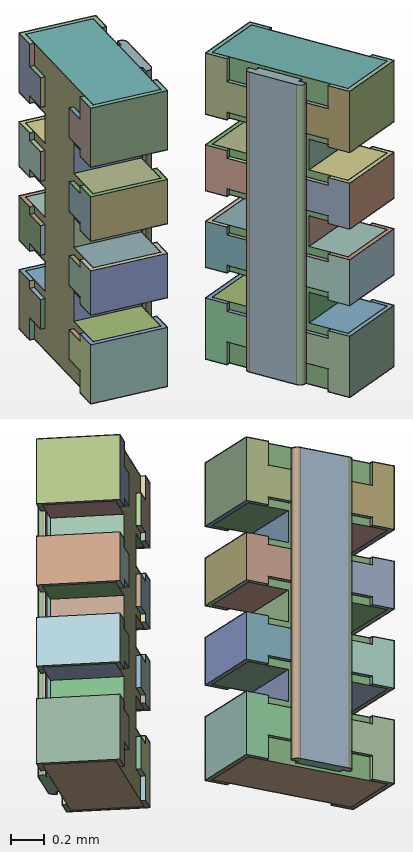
import cadquery as cq

WIDTH = 1.0
DEPTH = 0.5
HEIGHT = 2.0

PLATING = 0.03

NOTCH_HEIGHT = 0.2
INNER_ARM_HEIGHT = 0.3
OUTER_ARM_HEIGHT = 0.4
NECK_WIDTH = 0.4

LIP_REACH = 0.15
FRONT_TAB_REACH = (WIDTH - NECK_WIDTH) / 2
BACK_TAB_REACH = 0.35
TAB_HEIGHT = 0.2
TAB_MARGIN = 0.05

COVER_WIDTH = 0.4
COVER_RISE = 0.05
COVER_END_GAP = 0.02
COVER_ROUND = 0.035

BLOCK_FRONT = PLATING
BLOCK_BACK = DEPTH - PLATING
BLOCK_SIDE = WIDTH / 2 - PLATING

INNER_ROW_Z = (INNER_ARM_HEIGHT + NOTCH_HEIGHT) / 2
OUTER_ROW_Z = (HEIGHT - OUTER_ARM_HEIGHT) / 2
INNER_TAB_Z = INNER_ROW_Z
OUTER_TAB_Z = HEIGHT / 2 - OUTER_ARM_HEIGHT + TAB_MARGIN + TAB_HEIGHT / 2
NOTCH_Z = INNER_ARM_HEIGHT + NOTCH_HEIGHT

ROWS = [
    (-OUTER_ROW_Z, OUTER_ARM_HEIGHT, -OUTER_TAB_Z),
    (-INNER_ROW_Z, INNER_ARM_HEIGHT, -INNER_TAB_Z),
    (INNER_ROW_Z, INNER_ARM_HEIGHT, INNER_TAB_Z),
    (OUTER_ROW_Z, OUTER_ARM_HEIGHT, OUTER_TAB_Z),
]


def box_between(x_range, y_range, z_center, height):
    """Box spanning two X values and two Y values, centred on z_center."""
    x_size = x_range[1] - x_range[0]
    y_size = y_range[1] - y_range[0]
    corner = (x_range[0], y_range[0], z_center - height / 2)
    return cq.Workplane("XY").box(x_size, y_size, height, centered=False).translate(corner)


def make_block():
    """Ceramic block with three notches cut into each side down to the neck."""
    block = box_between((-BLOCK_SIDE, BLOCK_SIDE), (BLOCK_FRONT, BLOCK_BACK), 0, HEIGHT)
    for notch_z in (-NOTCH_Z, 0, NOTCH_Z):
        left_notch = box_between((-WIDTH / 2, -NECK_WIDTH / 2), (0, DEPTH), notch_z, NOTCH_HEIGHT)
        block = block.cut(left_notch).cut(left_notch.mirror("YZ"))
    return block


def make_left_terminal(row_z, arm_height, tab_z):
    """Plating wrapped around the -X end of one arm, with a tab on its front and back."""
    left = -WIDTH / 2
    channel = box_between((left, left + LIP_REACH), (0, DEPTH), row_z, arm_height)
    front_tab = box_between((left, left + FRONT_TAB_REACH), (0, BLOCK_FRONT), tab_z, TAB_HEIGHT)
    back_tab = box_between((left, left + BACK_TAB_REACH), (BLOCK_BACK, DEPTH), tab_z, TAB_HEIGHT)
    arm_space = box_between((-BLOCK_SIDE, 0), (BLOCK_FRONT, BLOCK_BACK), row_z, arm_height)
    return channel.cut(arm_space).union(front_tab).union(back_tab)


def make_cover():
    """Cover on the back: a narrow foot between the tabs and a wider rounded cap over them."""
    length = HEIGHT - 2 * COVER_END_GAP
    foot_half = WIDTH / 2 - BACK_TAB_REACH
    foot = box_between((-foot_half, foot_half), (BLOCK_BACK, DEPTH), 0, length)
    cap = box_between((-COVER_WIDTH / 2, COVER_WIDTH / 2), (DEPTH, DEPTH + COVER_RISE), 0, length)
    cap = cap.faces(">Y").edges("|Z").fillet(COVER_ROUND)
    return foot.union(cap)


block = make_block()
cover = make_cover()

terminals = []
for row_z, arm_height, tab_z in ROWS:
    left_terminal = make_left_terminal(row_z, arm_height, tab_z)
    right_terminal = left_terminal.mirror("YZ")
    terminals += [left_terminal.val(), right_terminal.val()]

result = cq.Compound.makeCompound([block.val(), cover.val(), *terminals])